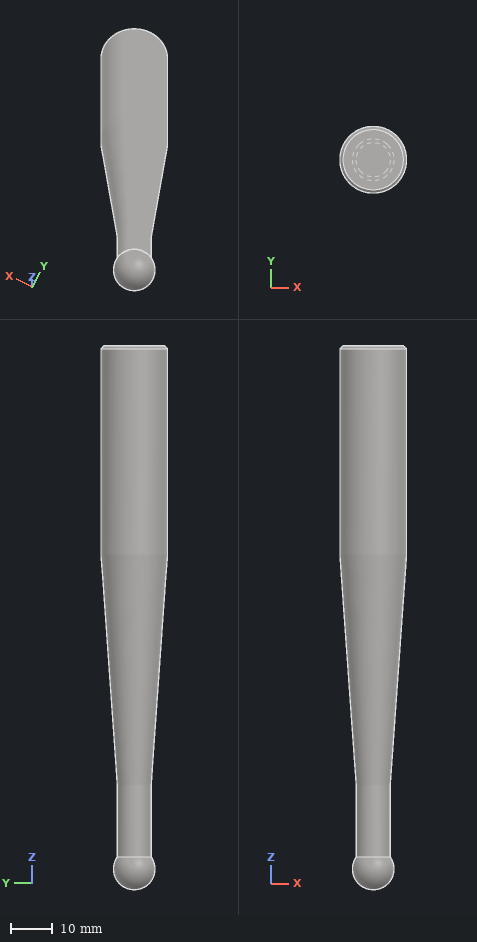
import cadquery as cq
import math

total_length = 130.0
shank_diameter = 16.0
shank_length = 50.0
shank_chamfer = 0.8
ball_diameter = 10.0
neck_diameter = 8.19
taper_bottom = 25.0
blend_radius = 2.0

shank_radius = shank_diameter / 2
ball_radius = ball_diameter / 2
neck_radius = neck_diameter / 2
taper_top = total_length - shank_length

ball_center = ball_radius
seat_height = ball_center + math.sqrt(ball_radius**2 - neck_radius**2)

taper_angle = math.atan2(shank_radius - neck_radius, taper_top - taper_bottom)
blend_setback = blend_radius * math.tan(taper_angle / 2)
blend_start = (neck_radius, taper_bottom - blend_setback)
blend_end = (
    neck_radius + blend_setback * math.sin(taper_angle),
    taper_bottom + blend_setback * math.cos(taper_angle),
)


def revolve_about_axis(outline):
    """Turn a closed half-outline (radius, height) about the tool axis."""
    return outline.revolve(360, (0, 0, 0), (0, 1, 0))


def make_stem():
    """Chamfered shank that tapers down to a slim cylindrical neck."""
    outline = (
        cq.Workplane("XZ")
        .moveTo(0, seat_height)
        .lineTo(neck_radius, seat_height)
        .lineTo(*blend_start)
        .tangentArcPoint(blend_end, relative=False)
        .lineTo(shank_radius, taper_top)
        .lineTo(shank_radius, total_length - shank_chamfer)
        .lineTo(shank_radius - shank_chamfer, total_length)
        .lineTo(0, total_length)
        .close()
    )
    return revolve_about_axis(outline)


def make_ball():
    """Ball with a flat seat on top for the end of the neck."""
    outline = (
        cq.Workplane("XZ")
        .moveTo(0, 0)
        .threePointArc((ball_radius, ball_center), (neck_radius, seat_height))
        .lineTo(0, seat_height)
        .close()
    )
    return revolve_about_axis(outline)


stem = make_stem()
ball = make_ball()

result = cq.Compound.makeCompound([stem.val(), ball.val()])